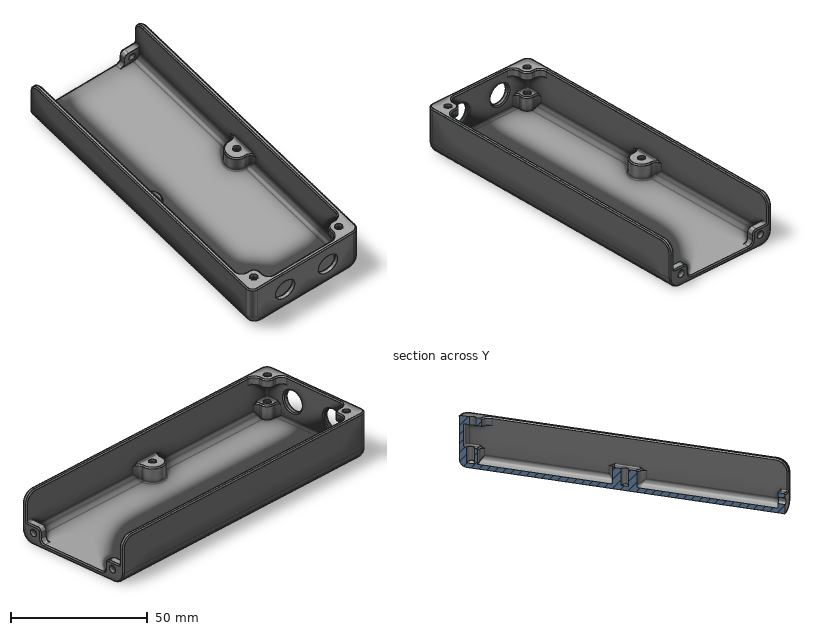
import cadquery as cq

length = 130.6
width = 50.5
height = 20.0
wall = 2.0
side_radius = 5.0
end_radius = 3.0
edge_chamfer = 0.5
blend_radius = 0.5

screw_diameter = 3.0
screw_inset = 5.5

pad_radius = 3.0
plate_size = 9.0
plate_flare = 3.0
plate_thickness = 3.3
post_screw_inset = 4.6
post_size = post_screw_inset + pad_radius
post_flare = 1.6
post_top = 8.0

lug_depth = 3.0
lug_side = 9.0
lug_top = 8.0
lug_radius = 2.0
lug_screw_height = 5.0

boss_x = 64.3
boss_inset = 5.0
boss_radius = 5.0
boss_flare = 2.5
boss_top = 8.5

cable_diameter = 9.0
cable_spacing = 20.0
cable_offset = 0.5
cable_height = 10.7

half_width = width / 2
inner_side = half_width - wall
boss_y = half_width - boss_inset
diagonal = 0.5 ** 0.5


def rounded_trough(start, end, half, bottom, top, bottom_radius, tip_radius):
    """Block along X with rounded long bottom edges and a rounded far end."""
    block = cq.Workplane("XY").box(end - start, 2 * half, top - bottom, centered=(False, True, False))
    block = block.translate((start, 0, bottom))
    block = block.edges("|X and <Z").fillet(bottom_radius)
    return block.faces(">X").edges("not >Z").fillet(tip_radius)


def both_sides(solid):
    """The solid at the +Y side together with its mirror image."""
    return solid.union(solid.mirror("XZ"))


def corner_pad(size, flare_radius, bottom, top):
    """Pad in the far +Y corner that flows into both walls."""
    flare_start = wall + flare_radius
    flare_mid = wall + flare_radius * (1 - diagonal)
    tip = size + flare_radius
    tip_mid = tip - flare_radius * diagonal
    round_start = size - pad_radius
    round_mid = round_start + pad_radius * diagonal
    outline = (
        cq.Workplane("XY")
        .lineTo(0, tip)
        .lineTo(wall, tip)
        .threePointArc((flare_mid, tip_mid), (flare_start, size))
        .lineTo(round_start, size)
        .threePointArc((round_mid, round_mid), (size, round_start))
        .lineTo(size, flare_start)
        .threePointArc((tip_mid, flare_mid), (tip, wall))
        .lineTo(tip, 0)
        .close()
    )
    pad = outline.extrude(top - bottom)
    return pad.rotate((0, 0, 0), (0, 0, 1), 180).translate((length, half_width, bottom))


def corner_post():
    """Lower pad with a bevelled top; its edges inside the walls stay sharp."""
    post = corner_pad(post_size, post_flare, 0, post_top)
    return post.faces(">Z").edges("not (>X or >Y)").chamfer(edge_chamfer)


def end_lug():
    """Screw lug across the open end, in its +Y bottom corner."""
    flank = half_width - lug_side
    foot_mid = lug_radius * (1 - diagonal)
    outline = (
        cq.Workplane("YZ")
        .moveTo(half_width, 0)
        .lineTo(half_width, lug_top)
        .lineTo(flank + lug_radius, lug_top)
        .threePointArc((flank + foot_mid, lug_top - foot_mid), (flank, lug_top - lug_radius))
        .lineTo(flank, wall + lug_radius)
        .threePointArc((flank - foot_mid, wall + foot_mid), (flank - lug_radius, wall))
        .lineTo(flank - lug_radius, 0)
        .close()
    )
    return outline.extrude(lug_depth)


def side_boss():
    """Half-round boss with a bevelled top that flares into the +Y wall."""
    flare_mid = boss_flare * (1 - diagonal)
    flare_y = inner_side - boss_flare
    foot = boss_radius + boss_flare
    outline = (
        cq.Workplane("XY")
        .moveTo(-foot, half_width)
        .lineTo(-foot, inner_side)
        .threePointArc((-boss_radius - flare_mid, inner_side - flare_mid), (-boss_radius, flare_y))
        .lineTo(-boss_radius, boss_y)
        .threePointArc((0, boss_y - boss_radius), (boss_radius, boss_y))
        .lineTo(boss_radius, flare_y)
        .threePointArc((boss_radius + flare_mid, inner_side - flare_mid), (foot, inner_side))
        .lineTo(foot, half_width)
        .close()
    )
    boss = outline.extrude(boss_top).faces(">Z").edges("not >Y").chamfer(edge_chamfer)
    return boss.translate((boss_x, 0, 0))


def upright_screw(x, y, bottom, top):
    """Vertical screw hole between two heights."""
    hole = cq.Workplane("XY").center(x, y).circle(screw_diameter / 2).extrude(top - bottom)
    return hole.translate((0, 0, bottom))


def nearest_edge(solid, point):
    """The edge whose centre is closest to the point."""
    return solid.edges(cq.selectors.NearestToPointSelector(point))


outer = rounded_trough(0, length, half_width, 0, height, side_radius, end_radius)
cavity = rounded_trough(
    -length, length - wall, inner_side, wall, 2 * height, side_radius - wall, end_radius - wall
)
plate_bottom = height - plate_thickness
hollow = cavity
for fitting in (
    corner_pad(plate_size, plate_flare, plate_bottom, 2 * height),
    corner_post(),
    end_lug(),
    side_boss(),
):
    hollow = hollow.cut(both_sides(fitting))
tray = outer.cut(hollow)

for side in (-1, 1):
    for blend_point in (
        (boss_x, side * inner_side, boss_top),
        (boss_x, side * (boss_y - boss_radius), wall),
        (lug_depth / 2, side * inner_side, lug_top),
        (length - post_screw_inset, side * inner_side, post_top),
    ):
        tray = nearest_edge(tray, blend_point).fillet(blend_radius)

tray = tray.edges("|Y and <X and >Z").fillet(side_radius)
rim = tray.faces(">Z").edges().add(tray.faces("<X").edges())
tray = tray.newObject(rim.vals()).chamfer(edge_chamfer)

boss_screw = upright_screw(boss_x, boss_y, 0, boss_top)
post_screw = upright_screw(length - post_screw_inset, half_width - post_screw_inset, 0, post_top)
plate_screw = upright_screw(length - screw_inset, half_width - screw_inset, plate_bottom, height)
lug_screw = (
    cq.Workplane("YZ")
    .center(half_width - screw_inset, lug_screw_height)
    .circle(screw_diameter / 2)
    .extrude(lug_depth)
)
for screw in (boss_screw.intersect(cavity), post_screw.intersect(cavity), plate_screw, lug_screw):
    tray = tray.cut(both_sides(screw))

for side in (-1, 1):
    cable_y = cable_offset + side * cable_spacing / 2
    cable_hole = cq.Workplane("YZ").center(cable_y, cable_height).circle(cable_diameter / 2).extrude(wall)
    tray = tray.cut(cable_hole.translate((length - wall, 0, 0)))
    tray = nearest_edge(tray, (length - wall, cable_y, cable_height)).chamfer(edge_chamfer)

result = tray